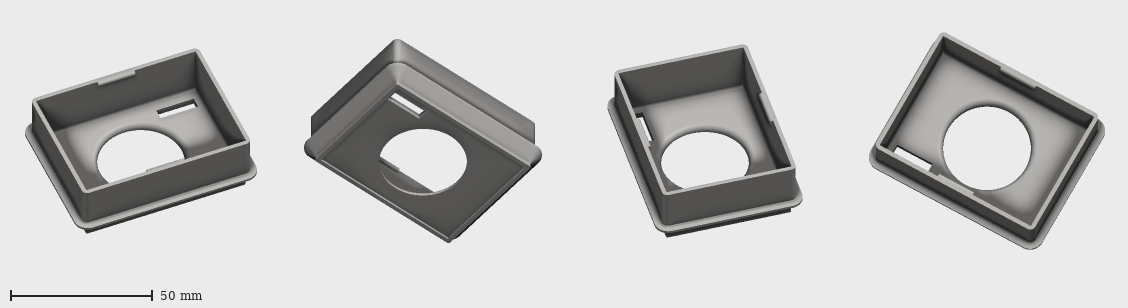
import cadquery as cq

flange_width = 54.1
flange_length = 69.3
height = 23.0

wall_width = 49.0
wall_length = 64.1
wall = 1.5
wall_corner_radius = 2.0
wall_base_chamfer_out = 0.5
wall_base_chamfer_up = 0.3

flange_bottom = 6.3
flange_top = 7.3
flange_corner_radius = 5.0
neck_height = 2.0
neck_corner_radius = 0.6

cavity_width = wall_width - 2 * wall
cavity_length = wall_length - 2 * wall
floor_top = 3.45
floor_thickness = 2.5
floor_bottom = floor_top - floor_thickness
cavity_floor_fillet = 1.0

hole_diameter = 31.0
hole_rim_fillet = 2.0
slot_width = 3.95
slot_length = 14.35
slot_x = -16.8
slot_y = 20.85

bead_length = 14.15
bead_radius = 1.0
bead_offset = 0.3


def rounded_sketch(width, length, radius):
    """Rectangle with rounded corners, centred on the origin."""
    return cq.Sketch().rect(width, length).vertices().fillet(radius)


def rounded_block(width, length, radius, bottom, top):
    """Upright block with rounded corners between two heights."""
    outline = rounded_sketch(width, length, radius)
    return cq.Workplane().workplane(offset=bottom).placeSketch(outline).extrude(top - bottom)


def flare(lower, upper, bottom, top):
    """Blend between two outlines at different heights."""
    return (
        cq.Workplane()
        .placeSketch(
            lower.moved(cq.Location(cq.Vector(0, 0, bottom))),
            upper.moved(cq.Location(cq.Vector(0, 0, top))),
        )
        .loft()
    )


def snap_bead(side):
    """Round-nosed bead flush with the rim; side is -1 or +1 along X."""
    wall_face = side * cavity_width / 2
    root = wall_face + side * wall / 2
    nose_start = wall_face - side * bead_offset
    nose_tip = nose_start - side * bead_radius
    return (
        cq.Workplane("XZ")
        .moveTo(root, height)
        .lineTo(nose_start, height)
        .threePointArc((nose_tip, height - bead_radius), (nose_start, height - 2 * bead_radius))
        .lineTo(root, height - 2 * bead_radius)
        .close()
        .extrude(bead_length / 2, both=True)
    )


neck_outline = rounded_sketch(cavity_width, cavity_length, neck_corner_radius)
flange_outline = rounded_sketch(flange_width, flange_length, flange_corner_radius)
base_width = wall_width + 2 * wall_base_chamfer_out
base_length = wall_length + 2 * wall_base_chamfer_out
base_outline = rounded_sketch(base_width, base_length, wall_corner_radius + wall_base_chamfer_out)
wall_outline = rounded_sketch(wall_width, wall_length, wall_corner_radius)

body = rounded_block(cavity_width, cavity_length, neck_corner_radius, 0, neck_height)
body = body.union(flare(neck_outline, flange_outline, neck_height, flange_bottom))
body = body.union(
    rounded_block(flange_width, flange_length, flange_corner_radius, flange_bottom, flange_top)
)
body = body.union(flare(base_outline, wall_outline, flange_top, flange_top + wall_base_chamfer_up))
body = body.union(rounded_block(wall_width, wall_length, wall_corner_radius, flange_top, height))

cavity = (
    cq.Workplane()
    .workplane(offset=floor_top)
    .rect(cavity_width, cavity_length)
    .extrude(height - floor_top)
    .faces("<Z")
    .edges()
    .fillet(cavity_floor_fillet)
)
body = body.cut(cavity)

recess_width = cavity_width - 2 * wall
recess_length = cavity_length - 2 * wall
body = body.cut(cq.Workplane().rect(recess_width, recess_length).extrude(floor_bottom))

rim_diameter = hole_diameter + 2 * hole_rim_fillet
opening = (
    cq.Workplane("XZ")
    .lineTo(hole_diameter / 2, 0)
    .lineTo(hole_diameter / 2, floor_top - hole_rim_fillet)
    .radiusArc((rim_diameter / 2, floor_top), hole_rim_fillet)
    .lineTo(0, floor_top)
    .close()
    .revolve(360, (0, 0), (0, 1))
)
body = body.cut(opening)

slot = cq.Workplane().center(slot_x, slot_y).rect(slot_width, slot_length).extrude(floor_top)
body = body.cut(slot)

for side in (-1, 1):
    body = body.union(snap_bead(side))

result = body